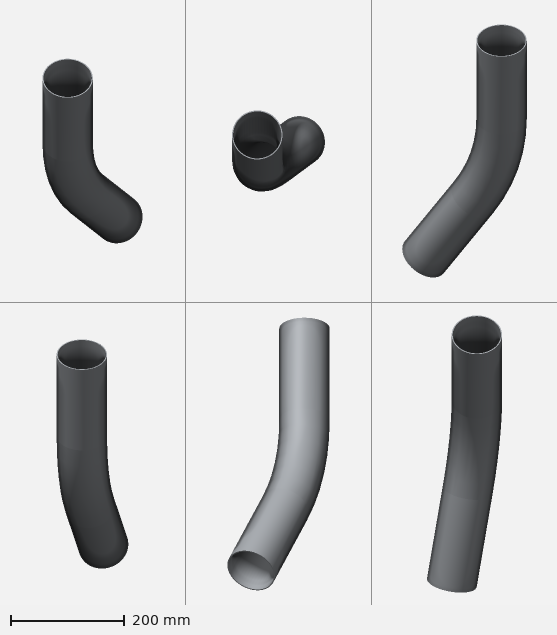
import cadquery as cq
import math

outer_diameter = 89.0
inner_diameter = 85.0
leg_length = 177.5
bend_radius = 382.0
bend_angle = 30.0


def bend_point(angle_degrees):
    """Centreline (Y, Z) after turning by the angle; the bend starts at the origin."""
    angle = math.radians(angle_degrees)
    return (bend_radius * (1 - math.cos(angle)), -bend_radius * math.sin(angle))


bend_end = bend_point(bend_angle)
lower_end = (
    bend_end[0] + leg_length * math.sin(math.radians(bend_angle)),
    bend_end[1] - leg_length * math.cos(math.radians(bend_angle)),
)
centreline = (
    cq.Workplane("YZ")
    .moveTo(0, leg_length)
    .lineTo(0, 0)
    .threePointArc(bend_point(bend_angle / 2), bend_end)
    .lineTo(*lower_end)
)

result = (
    cq.Workplane("XY", origin=(0, 0, leg_length))
    .circle(outer_diameter / 2)
    .circle(inner_diameter / 2)
    .sweep(centreline)
)